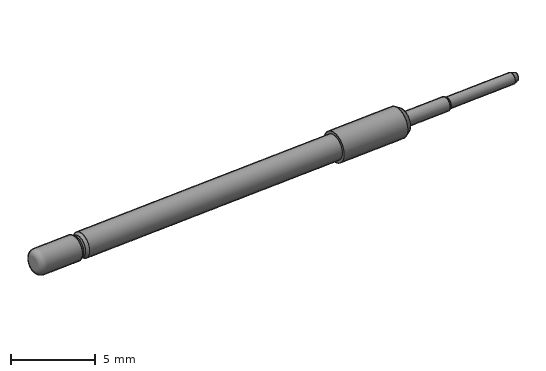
import cadquery as cq

total_length = 35.3
collar_diameter = 2.0
body_diameter = 1.65
sleeve_diameter = 0.92
pin_diameter = 0.75

pin_length = 5.0
sleeve_length = 3.3
collar_length = 5.0

tip_chamfer_length = 0.32
tip_chamfer_width = 0.1
sleeve_chamfer_length = 0.15
sleeve_chamfer_width = 0.07
collar_chamfer_length = 0.35
collar_chamfer_width = 0.2
end_radius = 0.4

groove_start = 2.95
groove_width = 0.53
groove_depth = 0.15
groove_floor_width = 0.15

tail_y = -total_length / 2
tip_y = total_length / 2
sleeve_front_y = tip_y - pin_length
collar_front_y = sleeve_front_y - sleeve_length
collar_back_y = collar_front_y - collar_length


def shaft(diameter, start_y, end_y):
    """Solid cylinder along Y between two stations."""
    return (
        cq.Workplane("XZ", origin=(0, start_y, 0))
        .circle(diameter / 2)
        .extrude(start_y - end_y)
    )


def groove_cutter():
    """Ring of trapezoidal section around the body."""
    radius = body_diameter / 2
    floor_radius = radius - groove_depth
    wall_length = (groove_width - groove_floor_width) / 2
    back_y = tail_y + groove_start
    front_y = back_y + groove_width
    return (
        cq.Workplane("XY")
        .moveTo(collar_diameter / 2, back_y)
        .lineTo(radius, back_y)
        .lineTo(floor_radius, back_y + wall_length)
        .lineTo(floor_radius, front_y - wall_length)
        .lineTo(radius, front_y)
        .lineTo(collar_diameter / 2, front_y)
        .close()
        .revolve(360, (0, 0, 0), (0, 1, 0))
    )


body = shaft(body_diameter, tail_y, collar_back_y).faces("<Y").edges().fillet(end_radius)
body = body.cut(groove_cutter())

collar = shaft(collar_diameter, collar_back_y, collar_front_y)
collar = collar.faces(">Y").chamfer(collar_chamfer_length, collar_chamfer_width)

sleeve = shaft(sleeve_diameter, collar_front_y, sleeve_front_y)
sleeve = sleeve.faces(">Y").chamfer(sleeve_chamfer_length, sleeve_chamfer_width)
pin = shaft(pin_diameter, sleeve_front_y, tip_y)
pin = pin.faces(">Y").chamfer(tip_chamfer_length, tip_chamfer_width)

result = body.union(collar).union(sleeve).union(pin)